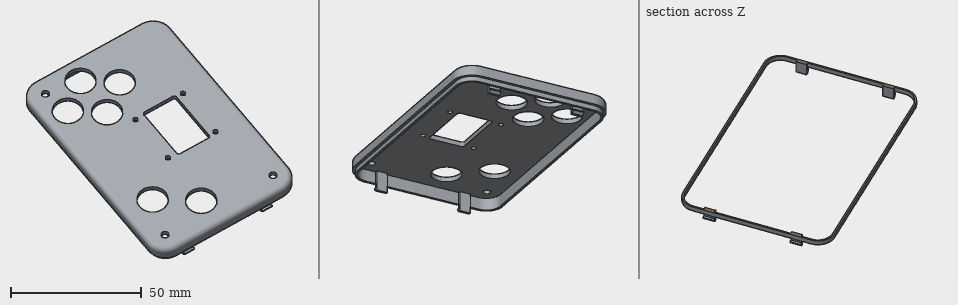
import cadquery as cq

LENGTH = 96.0
WIDTH = 65.0
CORNER_RADIUS = 8.0
SKIRT_HEIGHT = 5.0
TOP_EDGE_RADIUS = 2.0
ROOF_THICKNESS = 2.0
WALL_THICKNESS = 2.0

LIP_INSET = 1.1
LIP_HEIGHT = 2.0

CLIP_DROP = 3.2
CLIP_WIDTH = 4.5
CLIP_THICKNESS = 1.0
CLIP_OFFSET_Y = 18.0
HOOK_REACH = 1.0
HOOK_HEIGHT = 1.5
HOOK_NOSE = 0.5

WINDOW_LENGTH = 24.0
WINDOW_WIDTH = 15.0
WINDOW_RADIUS = 1.0
WINDOW_CENTER_Y = 8.0
DISPLAY_HOLE_DIAMETER = 2.0
DISPLAY_HOLE_OFFSET = 11.0
DISPLAY_HOLES_CENTER_Y = 7.5

BUTTON_DIAMETER = 12.0
PAD_CENTER = (-29.0, -10.5)
PAD_OFFSET_X = 9.0
PAD_OFFSET_Y = 12.0
ACTION_BUTTONS = [(35.0, -4.5), (24.0, -19.5)]

SCREW_DIAMETER = 3.0
SCREW_X = 40.5
SCREW_Y = 25.0
SCREW_HOLES = [(-SCREW_X, -SCREW_Y), (SCREW_X, -SCREW_Y), (SCREW_X, SCREW_Y)]

LIP_BOTTOM = CLIP_DROP
SKIRT_BOTTOM = LIP_BOTTOM + LIP_HEIGHT
TOP = SKIRT_BOTTOM + SKIRT_HEIGHT
ROOF_BOTTOM = TOP - ROOF_THICKNESS


def rounded_slab(inset, bottom, top):
    """Block following the cover outline, moved inward by inset."""
    slab = cq.Workplane("XY").workplane(offset=bottom)
    slab = slab.rect(LENGTH - 2 * inset, WIDTH - 2 * inset).extrude(top - bottom)
    return slab.edges("|Z").fillet(CORNER_RADIUS - inset)


def make_shell():
    """Hollow cover, open below, with a rounded top edge and a stepped lip."""
    skirt = rounded_slab(0, SKIRT_BOTTOM, TOP).faces(">Z").edges().fillet(TOP_EDGE_RADIUS)
    lip = rounded_slab(LIP_INSET, LIP_BOTTOM, SKIRT_BOTTOM)
    cavity = rounded_slab(WALL_THICKNESS, LIP_BOTTOM, ROOF_BOTTOM)
    return skirt.union(lip).cut(cavity)


def make_clip(y):
    """Left-hand clip: a post on the inside of the wall with an outward hook."""
    outer_x = -LENGTH / 2 + WALL_THICKNESS
    inner_x = outer_x + CLIP_THICKNESS
    tip_x = outer_x - HOOK_REACH
    profile = [
        (inner_x, 0),
        (inner_x, ROOF_BOTTOM),
        (outer_x, ROOF_BOTTOM),
        (outer_x, HOOK_HEIGHT),
        (tip_x, HOOK_HEIGHT),
        (tip_x, HOOK_HEIGHT - HOOK_NOSE),
        (outer_x, 0),
    ]
    clip = cq.Workplane("XZ").polyline(profile).close().extrude(CLIP_WIDTH / 2, both=True)
    return clip.translate((0, y, 0))


def roof_holes(centers, diameter):
    """Cylinders that cut round holes through the roof."""
    plane = cq.Workplane("XY").workplane(offset=ROOF_BOTTOM)
    return plane.pushPoints(centers).circle(diameter / 2).extrude(ROOF_THICKNESS)


def display_window():
    """Rounded rectangular opening through the roof."""
    plane = cq.Workplane("XY").workplane(offset=ROOF_BOTTOM).center(0, WINDOW_CENTER_Y)
    window = plane.rect(WINDOW_LENGTH, WINDOW_WIDTH).extrude(ROOF_THICKNESS)
    return window.edges("|Z").fillet(WINDOW_RADIUS)


def display_hole_centers():
    """Square pattern of screw positions around the window."""
    offsets = (-DISPLAY_HOLE_OFFSET, DISPLAY_HOLE_OFFSET)
    return [(x, DISPLAY_HOLES_CENTER_Y + y) for x in offsets for y in offsets]


def pad_button_centers():
    """Four direction buttons in a cross."""
    x, y = PAD_CENTER
    return [
        (x - PAD_OFFSET_X, y),
        (x + PAD_OFFSET_X, y),
        (x, y - PAD_OFFSET_Y),
        (x, y + PAD_OFFSET_Y),
    ]


result = make_shell()

for clip_y in (-CLIP_OFFSET_Y, CLIP_OFFSET_Y):
    left_clip = make_clip(clip_y)
    result = result.union(left_clip).union(left_clip.mirror("YZ"))

result = result.cut(display_window())
result = result.cut(roof_holes(display_hole_centers(), DISPLAY_HOLE_DIAMETER))
result = result.cut(roof_holes(pad_button_centers() + ACTION_BUTTONS, BUTTON_DIAMETER))
result = result.cut(roof_holes(SCREW_HOLES, SCREW_DIAMETER))